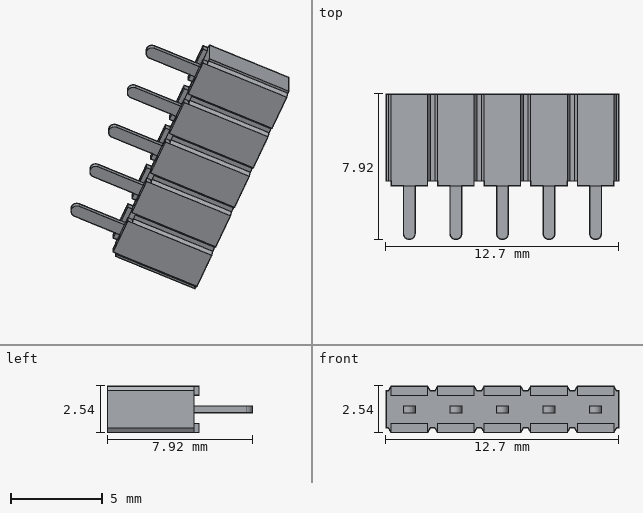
import cadquery as cq
import math

pin_count = 5
length = 12.7
pitch = length / pin_count
height = 2.54
body_depth = 4.74

groove_depth = 0.25
groove_floor = 0.25
groove_slope = math.radians(60)
groove_mouth = groove_floor + 2 * groove_depth / math.tan(groove_slope)

foot_width = pitch - groove_mouth
foot_height = 0.51
foot_depth = 0.27

total_depth = 7.92
pin_width = 0.65
pin_thickness = 0.38
pin_length = total_depth - body_depth

cell_centers = [(i + 0.5) * pitch - length / 2 for i in range(pin_count)]
groove_centers = [i * pitch - length / 2 for i in range(pin_count + 1)]


def make_body():
    """Plain block with its front face on Y = 0, centred in X and Z."""
    return cq.Workplane("XY").box(length, body_depth, height).translate((0, body_depth / 2, 0))


def make_groove(x, side):
    """Groove cutter running along Y; side is +1 for the top, -1 for the bottom."""
    surface = side * height / 2
    floor = side * (height / 2 - groove_depth)
    profile = [
        (x - groove_mouth / 2, surface),
        (x - groove_floor / 2, floor),
        (x + groove_floor / 2, floor),
        (x + groove_mouth / 2, surface),
    ]
    return cq.Workplane("XZ").polyline(profile).close().extrude(-body_depth)


def make_foot(x, side):
    """Standoff foot flush with the top (+1) or bottom (-1) surface."""
    z = side * (height - foot_height) / 2
    return cq.Workplane("XZ").center(x, z).rect(foot_width, foot_height).extrude(foot_depth)


def make_pin(x):
    """Flat pin projecting from the front face and ending in a half-round tip."""
    radius = pin_width / 2
    tip_center = -pin_length + radius
    return (
        cq.Workplane("XY")
        .moveTo(x - radius, 0)
        .lineTo(x - radius, tip_center)
        .threePointArc((x, -pin_length), (x + radius, tip_center))
        .lineTo(x + radius, 0)
        .close()
        .extrude(pin_thickness / 2, both=True)
    )


result = make_body()
for side in (1, -1):
    for x in groove_centers:
        result = result.cut(make_groove(x, side))
    for x in cell_centers:
        result = result.union(make_foot(x, side))
for x in cell_centers:
    result = result.union(make_pin(x))